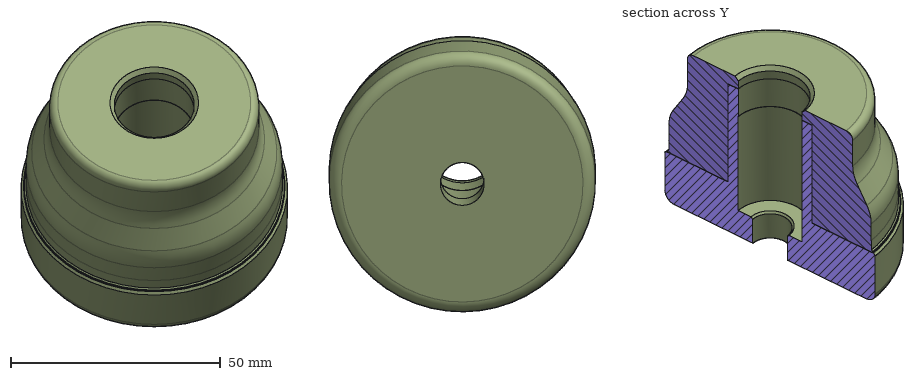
import cadquery as cq
import math

height = 49.0
base_radius = 31.75

base_height = 15.35
base_corner_radius = 3.0
base_chamfer = 0.6
sleeve_radius = 12.7
sleeve_top = 45.6
relief_top = 37.0
relief_depth = 0.05

bore_radius = 9.5
bore_chamfer = 1.0
bore_floor = 8.0
screw_hole_radius = 5.2
screw_hole_chamfer = 0.5

neck_radius = 24.95
top_corner_radius = 2.0
skirt_radius = 30.55
shoulder_bottom = 24.1
shoulder_arc_radius = 10.0
shoulder_angle = math.radians(30)

band_top = 19.0
band_taper = 0.05
rim_radius = 31.0
rim_height = 0.4
flare_height = 0.3


def revolve(profile):
    """Turn a closed (radius, height) profile about the Z axis."""
    return profile.close().revolve(360, (0, 0, 0), (0, 1, 0))


def make_base():
    outer = (
        cq.Workplane("XY").circle(base_radius).extrude(base_height)
        .faces("<Z").edges().fillet(base_corner_radius)
        .faces(">Z").edges().chamfer(base_chamfer)
    )
    sleeve = cq.Workplane("XY").circle(sleeve_radius).extrude(sleeve_top)
    bore = cq.Workplane("XY", origin=(0, 0, bore_floor)).circle(bore_radius).extrude(height)
    relief = (
        cq.Workplane("XY", origin=(0, 0, bore_floor))
        .circle(bore_radius + relief_depth).extrude(relief_top - bore_floor)
    )
    screw_hole = revolve(
        cq.Workplane("XZ")
        .lineTo(screw_hole_radius, 0)
        .lineTo(screw_hole_radius, bore_floor - screw_hole_chamfer)
        .lineTo(screw_hole_radius + screw_hole_chamfer, bore_floor)
        .lineTo(0, bore_floor)
    )
    return outer.union(sleeve).cut(bore).cut(relief).cut(screw_hole)


def make_knob():
    def arc_inset(angle):
        return shoulder_arc_radius * (1 - math.cos(angle))

    def arc_rise(angle):
        return shoulder_arc_radius * math.sin(angle)

    half_angle = shoulder_angle / 2
    slope_run = skirt_radius - neck_radius - 2 * arc_inset(shoulder_angle)
    slope_rise = slope_run / math.tan(shoulder_angle)
    shoulder_top = shoulder_bottom + 2 * arc_rise(shoulder_angle) + slope_rise
    rim_top = base_height + rim_height

    body = revolve(
        cq.Workplane("XZ").moveTo(0, base_height)
        .lineTo(rim_radius, base_height)
        .lineTo(rim_radius, rim_top)
        .lineTo(skirt_radius + band_taper, rim_top + flare_height)
        .lineTo(skirt_radius, band_top)
        .lineTo(skirt_radius, shoulder_bottom)
        .threePointArc(
            (skirt_radius - arc_inset(half_angle), shoulder_bottom + arc_rise(half_angle)),
            (skirt_radius - arc_inset(shoulder_angle), shoulder_bottom + arc_rise(shoulder_angle)),
        )
        .lineTo(neck_radius + arc_inset(shoulder_angle), shoulder_top - arc_rise(shoulder_angle))
        .threePointArc(
            (neck_radius + arc_inset(half_angle), shoulder_top - arc_rise(half_angle)),
            (neck_radius, shoulder_top),
        )
        .lineTo(neck_radius, height)
        .lineTo(0, height)
    )
    body = body.faces(">Z").edges().fillet(top_corner_radius)

    sleeve_socket = cq.Workplane("XY").circle(sleeve_radius).extrude(sleeve_top)
    bore = cq.Workplane("XY").circle(bore_radius).extrude(height)
    body = body.cut(sleeve_socket).cut(bore)
    bore_rim = cq.selectors.RadiusNthSelector(0)
    return body.faces(">Z").edges(bore_rim).chamfer(bore_chamfer)


base = make_base()
knob = make_knob()

result = cq.Compound.makeCompound([base.val(), knob.val()])